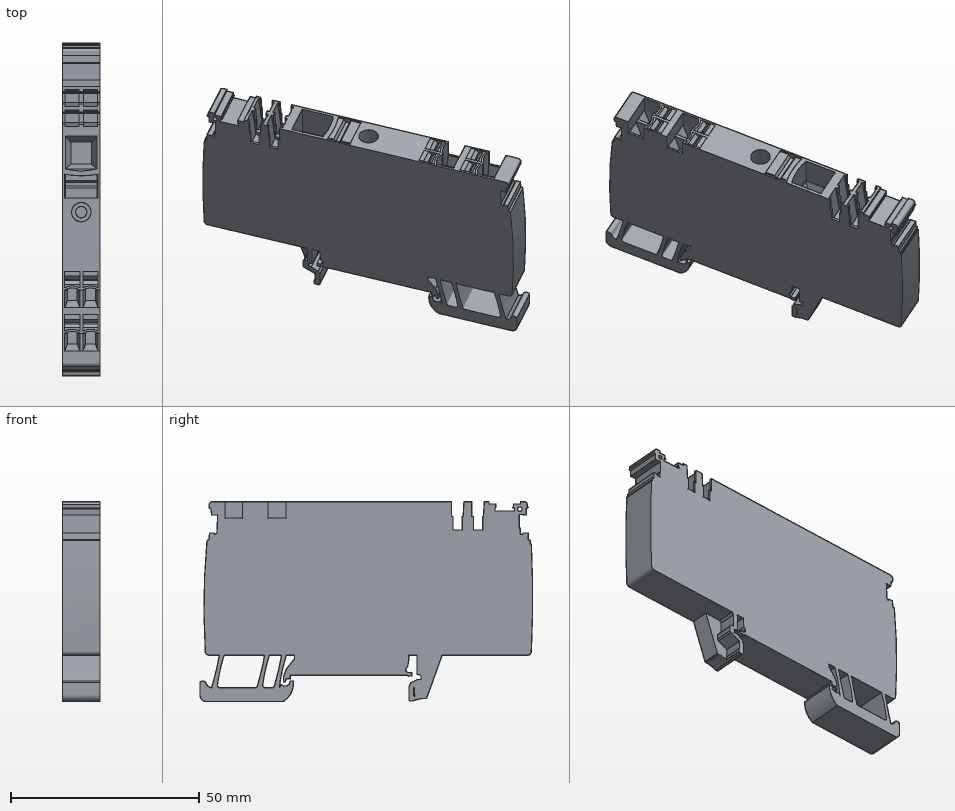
import cadquery as cq

WIDTH = 10.0
HALF_WIDTH = WIDTH / 2
TOP_Z = 53.1
BODY_BOTTOM_Z = 12.3
RAIL_FACE_Z = 7.0
FRONT_Y = -42.8
BACK_Y = 43.8
END_BOW = 0.35
END_BOW_MID_Z = 27.2
CORNER_RADIUS = 1.1

CLIP_HOLE_Y = 40.7
CLIP_HOLE_Z = 51.1
CLIP_HOLE_RADIUS = 0.57

SLOT_FLOOR_Z = 45.6
SLOT_STEP_Z = 49.1
SLOT_PITCH = 5.4
SLOT_BACK_YS = (30.8, 30.8 - SLOT_PITCH)
SLOT_FLOOR_LENGTH = 2.4
SLOT_STEP = 0.4
WELL_WIDTH = 3.8
WELL_DEPTH = 8.4
WELL_X = 2.5
WELL_TOP_OVERHANG = (1.0, 1.1)

FUNNEL_TOP = (8.4, 19.4, 10.8)
FUNNEL_FLOOR = (5.6, 17.85, 12.0)
FUNNEL_DEPTH = 10.6
FUNNEL_STRAIGHT_DEPTH = 7.95
FUNNEL_BOW = 0.5

TEST_HOLE_Y = -0.7
TEST_BORE_RADIUS = 2.6
TEST_BORE_DEPTH = 7.1
TEST_HOLE_RADIUS = 1.5
TEST_HOLE_DEPTH = 12.4

LARGE_PUSHER_WIDTH = 8.3
LARGE_RECESS_WIDTH = 9.0
LARGE_PUSHER_YS = (9.4, 3.0)
LARGE_GROOVE_YS = (7.7, 7.2, 6.2, 5.65)
PUSHER_DEPTH = 7.1
GROOVE_DEPTH = 0.9
PUSHER_BOW = 0.4

COLUMN_XS = (-2.4, 2.5)
ROW_YS = (-16.4, -27.9)
SMALL_PUSHER_WIDTH = 4.1
SMALL_PUSHER_LENGTH = 4.3
SMALL_GROOVE_OFFSETS = (1.2, 2.1, 2.5, 3.45)
ENTRY_START = 4.95
ENTRY_LENGTH = 4.7
ENTRY_FLOOR_LENGTH = 2.8
ENTRY_FLOOR_WIDTH = 2.6
ENTRY_DEPTH = 7.95
ENTRY_STRAIGHT_DEPTH = 4.9
ENTRY_BOW = 0.5
ENTRY_NOTCH_DEPTH = 4.4

BASE_TOP_Z = 3.7
LEG_TOP_YS = (-21.2, -25.7, -37.7)
LEG_ROOT_RADIUS = 0.6
LEG_ROOTS_BACK_Y = -23.9
LEG_ROOTS_FRONT_Y = -40.2

WEB_THICKNESS = HALF_WIDTH


def extrude_across(profile, x_start=-HALF_WIDTH, x_end=HALF_WIDTH):
    """Extrude a closed YZ profile between two X positions."""
    return profile.extrude(x_end - x_start).translate((x_start, 0, 0))


def slot_outline(back_y):
    """Cross-section of one stepped slot, from its +Y top edge to its -Y top edge."""
    front_y = back_y - SLOT_FLOOR_LENGTH
    return [
        (back_y + SLOT_STEP, TOP_Z),
        (back_y + SLOT_STEP / 2, SLOT_STEP_Z),
        (back_y, SLOT_STEP_Z),
        (back_y, SLOT_FLOOR_Z),
        (front_y, SLOT_FLOOR_Z),
        (front_y, SLOT_STEP_Z),
        (front_y - SLOT_STEP, SLOT_STEP_Z),
        (front_y - SLOT_STEP, TOP_Z),
    ]


def body_plate():
    """Main plate, including the marker clip, the slots and the rail hook."""
    back_shoulder = [
        (BACK_Y, 41.9), (43.6, 41.9), (43.6, 42.9), (43.0, 42.9), (43.0, 44.8),
        (41.5, 44.8), (41.5, 44.45), (40.9, 44.45), (40.9, 46.0), (40.65, 46.0),
    ]
    clip = [
        (40.65, 49.7), (42.5, 49.5), (42.5, 51.25), (43.0, 51.5), (42.8, 51.8), (42.8, 52.3),
    ]
    clip_top = [
        (42.0, TOP_Z), (40.9, TOP_Z), (40.9, 52.5), (39.05, 52.5), (39.05, 51.8), (38.8, 51.4),
        (39.3, 51.25), (39.3, 50.6), (34.2, 50.6), (34.2, 51.25), (34.4, 51.5), (34.4, 52.5),
        (32.6, 52.5), (32.6, TOP_Z),
    ]
    slots = [point for back_y in SLOT_BACK_YS for point in slot_outline(back_y)]
    front_clip_corner = (-40.65, TOP_Z)
    front_clip = [
        (-41.8, 52.3), (-41.7, 51.3), (-41.3, 51.2), (-41.1, 49.5),
        (-39.5, 49.5), (-39.7, 44.8), (-40.1, 44.4), (-40.5, 44.8), (-41.6, 44.8), (-41.8, 43.0),
        (-42.3, 42.8),
    ]
    rail_hook = [
        (-19.1, BODY_BOTTOM_Z), (-19.1, 11.4), (-21.2, 8.75), (-22.0, 6.6), (-22.0, 5.2),
        (-21.5, 5.2), (-21.3, 6.0), (-20.15, 6.0), (-20.15, RAIL_FACE_Z),
    ]
    latch_slot = [
        (10.8, RAIL_FACE_Z), (11.2, 6.7), (12.1, 6.8), (12.1, 7.7), (11.0, 7.8), (10.5, 8.1),
        (10.5, 8.7), (11.05, 9.45), (11.3, 11.1), (11.3, BODY_BOTTOM_Z),
    ]
    front_low = (FRONT_Y, BODY_BOTTOM_Z + CORNER_RADIUS)
    back_low = (BACK_Y, BODY_BOTTOM_Z + CORNER_RADIUS)
    outline = (
        cq.Workplane("YZ")
        .polyline(back_shoulder + clip)
        .threePointArc((42.5, 52.8), clip_top[0])
        .polyline(clip_top + slots + [front_clip_corner])
        .threePointArc((-41.4, 52.8), front_clip[0])
        .polyline(front_clip)
        .threePointArc((FRONT_Y - END_BOW, END_BOW_MID_Z), front_low)
        .radiusArc((FRONT_Y + CORNER_RADIUS, BODY_BOTTOM_Z), -CORNER_RADIUS)
    )
    for point in rail_hook + latch_slot:
        outline = outline.lineTo(*point)
    outline = (
        outline.lineTo(BACK_Y - CORNER_RADIUS, BODY_BOTTOM_Z)
        .radiusArc(back_low, -CORNER_RADIUS)
        .threePointArc((BACK_Y + END_BOW, END_BOW_MID_Z), back_shoulder[0])
        .close()
    )
    clip_hole = (
        cq.Workplane("YZ").center(CLIP_HOLE_Y, CLIP_HOLE_Z).circle(CLIP_HOLE_RADIUS)
    )
    return extrude_across(outline).cut(extrude_across(clip_hole))


def foot_leg(top_y):
    """One slanted, slightly curved leg between the body and the foot base."""
    middle_z = (BODY_BOTTOM_Z + BASE_TOP_Z) / 2
    leg = (
        cq.Workplane("YZ")
        .moveTo(top_y, BODY_BOTTOM_Z)
        .threePointArc((top_y - 1.15, middle_z), (top_y - 1.85, BASE_TOP_Z))
        .lineTo(top_y - 3.4, BASE_TOP_Z)
        .threePointArc((top_y - 2.2, middle_z), (top_y - 1.3, BODY_BOTTOM_Z))
        .close()
    )
    return extrude_across(leg)


def foot_base():
    """Foot base with the inner rail lip and the hooked outer end."""
    base = (
        cq.Workplane("YZ")
        .moveTo(-22.1, 0)
        .threePointArc((-20.2, 1.8), (-19.35, 5.5))
        .lineTo(-20.2, 5.5)
        .lineTo(-20.4, 4.8)
        .threePointArc((-21.5, 4.15), (-22.7, 4.6))
        .lineTo(-23.1, BASE_TOP_Z)
        .lineTo(-41.1, BASE_TOP_Z)
        .threePointArc((-41.7, 3.9), (-42.5, 4.9))
        .threePointArc((-43.3, 5.5), (-44.2, 5.1))
        .lineTo(-44.2, 1.8)
        .radiusArc((-42.4, 0), -1.8)
        .close()
    )
    return extrude_across(base)


def foot():
    """Base and legs, with the inner leg roots filleted where they meet the base."""
    legs_and_base = foot_base()
    for top_y in LEG_TOP_YS:
        legs_and_base = legs_and_base.union(foot_leg(top_y))
    leg_roots = cq.selectors.BoxSelector(
        (-WIDTH, LEG_ROOTS_FRONT_Y, BASE_TOP_Z - 0.1), (WIDTH, LEG_ROOTS_BACK_Y, BASE_TOP_Z + 0.1)
    )
    return legs_and_base.edges("|X").edges(leg_roots).fillet(LEG_ROOT_RADIUS)


def latch():
    """Springy S-shaped latch strip across the full width, stiffened by a web behind it."""
    strip = cq.Workplane("YZ").polyline([
        (15.2, BODY_BOTTOM_Z), (14.8, 11.7), (14.8, 7.9), (15.5, 7.9), (16.1, 7.1), (16.1, 5.65),
        (15.7, 5.2), (13.1, 4.1), (12.6, 3.9), (12.6, 1.5), (12.9, 1.2), (12.9, 0.35),
        (12.4, 0.1), (11.6, 0.1), (11.3, 0.35), (11.3, 4.1), (11.75, 4.95), (13.7, 5.9),
        (14.5, 5.9), (14.5, 7.0), (13.4, 7.25), (13.4, BODY_BOTTOM_Z),
    ]).close()
    web = cq.Workplane("YZ").polyline([
        (20.15, BODY_BOTTOM_Z), (16.1, 1.0), (15.7, 0.8), (14.7, 0.8), (12.9, 0.35), (12.6, 3.9),
        (15.7, 5.2), (14.8, 7.9), (14.8, BODY_BOTTOM_Z),
    ]).close()
    return extrude_across(strip).union(extrude_across(web, HALF_WIDTH - WEB_THICKNESS))


def tapered_pocket(center_x, top, floor, depth, straight_depth=0):
    """Pocket, upright at first, then tapering to a floor rectangle.

    The top and floor rectangles are each given as (width, +Y end, -Y end).
    """
    top_width, top_back, top_front = top
    floor_width, floor_back, floor_front = floor
    top_center = (top_back + top_front) / 2
    floor_center = (floor_back + floor_front) / 2
    taper = (
        cq.Workplane("XY", origin=(center_x, floor_center, TOP_Z - depth))
        .rect(floor_width, floor_back - floor_front)
        .workplane(offset=depth - straight_depth)
        .center(0, top_center - floor_center)
        .rect(top_width, top_back - top_front)
        .loft(ruled=True)
    )
    if straight_depth == 0:
        return taper
    upright = (
        cq.Workplane("XY", origin=(center_x, top_center, TOP_Z))
        .rect(top_width, top_back - top_front)
        .extrude(-straight_depth)
    )
    return upright.union(taper)


def bowed_segment(center_x, y, width, bow, depth):
    """Upright slab between a chord along X and an arc bowing from it by `bow` in Y."""
    return (
        cq.Workplane("XY", origin=(center_x, y, TOP_Z - depth))
        .moveTo(-width / 2, 0)
        .threePointArc((0, bow), (width / 2, 0))
        .close()
        .extrude(depth)
    )


def slot_wells():
    """Tapered wells that hollow the walls of the two slots."""
    wells = cq.Workplane("XY")
    for back_y in SLOT_BACK_YS:
        front_y = back_y - SLOT_FLOOR_LENGTH
        top = (WELL_WIDTH, back_y + WELL_TOP_OVERHANG[0], front_y - WELL_TOP_OVERHANG[1])
        floor = (WELL_WIDTH, back_y, front_y)
        for center_x in (-WELL_X, WELL_X):
            wells = wells.add(tapered_pocket(center_x, top, floor, WELL_DEPTH))
    return wells.combine()


def screwdriver_funnel():
    """Tapered screwdriver opening whose -Y edge bows toward the large pusher."""
    pocket = tapered_pocket(0, FUNNEL_TOP, FUNNEL_FLOOR, FUNNEL_DEPTH, FUNNEL_STRAIGHT_DEPTH)
    bow = bowed_segment(0, FUNNEL_TOP[2], FUNNEL_TOP[0], -FUNNEL_BOW, FUNNEL_STRAIGHT_DEPTH)
    return pocket.union(bow)


def test_hole():
    """Stepped round hole in the top face."""
    top_face = cq.Workplane("XY", origin=(0, TEST_HOLE_Y, TOP_Z))
    bore = top_face.circle(TEST_BORE_RADIUS).extrude(-TEST_BORE_DEPTH)
    return bore.union(top_face.circle(TEST_HOLE_RADIUS).extrude(-TEST_HOLE_DEPTH))


def wire_entries(row_y):
    """Two wire entries of one row, with the notch that opens them through the +X side."""
    back_y = row_y - ENTRY_START
    front_y = back_y - ENTRY_LENGTH
    top = (SMALL_PUSHER_WIDTH, back_y, front_y)
    floor = (ENTRY_FLOOR_WIDTH, back_y, back_y - ENTRY_FLOOR_LENGTH)
    notch_length_x = HALF_WIDTH - COLUMN_XS[0]
    entries = cq.Workplane("XY").box(
        notch_length_x, ENTRY_LENGTH, ENTRY_NOTCH_DEPTH, centered=False
    ).translate((COLUMN_XS[0], front_y, TOP_Z - ENTRY_NOTCH_DEPTH))
    for center_x in COLUMN_XS:
        pocket = tapered_pocket(center_x, top, floor, ENTRY_DEPTH, ENTRY_STRAIGHT_DEPTH)
        entries = entries.union(pocket)
        entries = entries.union(
            bowed_segment(center_x, back_y, SMALL_PUSHER_WIDTH, ENTRY_BOW, ENTRY_DEPTH)
        )
    return entries


def pusher_block(center_x, width, bowed_y, flat_y):
    """Pusher blank: one end flat, the other hollowed to keep clear of the opening beside it."""
    block = (
        cq.Workplane("XY", origin=(center_x, (bowed_y + flat_y) / 2, TOP_Z))
        .rect(width, abs(bowed_y - flat_y))
        .extrude(-PUSHER_DEPTH)
    )
    inward_bow = PUSHER_BOW if flat_y > bowed_y else -PUSHER_BOW
    return block.cut(bowed_segment(center_x, bowed_y, width, inward_bow, PUSHER_DEPTH))


def driver_groove(back_y, back_root_y, front_root_y, front_y):
    """Tapered groove along X in which a screwdriver tip rests."""
    root_z = TOP_Z - GROOVE_DEPTH
    groove = cq.Workplane("YZ").polyline([
        (back_y, TOP_Z), (back_root_y, root_z), (front_root_y, root_z), (front_y, TOP_Z),
    ]).close()
    return extrude_across(groove)


def large_recess_block():
    return pusher_block(0, LARGE_RECESS_WIDTH, *LARGE_PUSHER_YS)


def small_pusher_block(center_x, row_y):
    return pusher_block(center_x, SMALL_PUSHER_WIDTH, row_y - SMALL_PUSHER_LENGTH, row_y)


def make_housing():
    """Housing with its foot, latch and openings, and a fitted recess for every pusher."""
    housing = body_plate().union(foot()).union(latch())
    housing = housing.cut(slot_wells()).cut(screwdriver_funnel()).cut(test_hole())
    housing = housing.cut(large_recess_block())
    for row_y in ROW_YS:
        housing = housing.cut(wire_entries(row_y))
        for center_x in COLUMN_XS:
            housing = housing.cut(small_pusher_block(center_x, row_y))
    return housing


def make_large_pusher():
    """Large pusher: its recess shape, narrowed to leave clearance at both sides."""
    block = large_recess_block().intersect(
        cq.Workplane("XY").box(LARGE_PUSHER_WIDTH, 2 * BACK_Y, 2 * TOP_Z)
    )
    return block.cut(driver_groove(*LARGE_GROOVE_YS))


def make_small_pusher(center_x, row_y):
    groove = driver_groove(*(row_y - offset for offset in SMALL_GROOVE_OFFSETS))
    return small_pusher_block(center_x, row_y).cut(groove)


housing = make_housing()
large_pusher = make_large_pusher()
small_pushers = [make_small_pusher(x, row_y).val() for row_y in ROW_YS for x in COLUMN_XS]

result = cq.Compound.makeCompound([housing.val(), large_pusher.val(), *small_pushers])